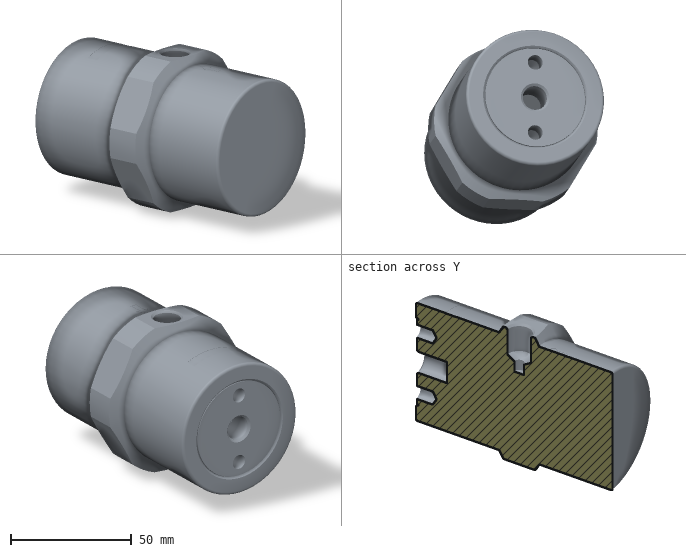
import cadquery as cq
import math

BODY_LENGTH = 98.0
BODY_DIAMETER = 58.0
BODY_END_FILLET = 1.2

COLLAR_WIDTH = 20.0
COLLAR_CENTRE_X = 2.5
COLLAR_SIDES = 6
ACROSS_FLATS = 65.0
CORNER_DIAMETER = 68.8
COLLAR_CONE_ANGLE = 60.0

RECESS_MOUTH_DIAMETER = 44.0
RECESS_BORE_DIAMETER = 42.4
RECESS_DEPTH = 0.5
PLUG_DIAMETER = 41.9
PLUG_GAP_DEPTH = 0.75

END_PORT_DIAMETER = 10.11
END_PORT_MOUTH_DIAMETER = 12.0
END_PORT_DEPTH = 15.0

SPANNER_HOLE_DIAMETER = 6.2
SPANNER_HOLE_OFFSET = 15.0
SPANNER_HOLE_DEPTH = 8.0

SIDE_PORT_DIAMETER = 11.45
SIDE_PORT_MOUTH_DIAMETER = 13.16
SIDE_PORT_DEPTH = 13.0
PILOT_DIAMETER = 4.5
PILOT_DEPTH = 5.0

DRILL_POINT_ANGLE = 118.0

MARKING_DEPTH = 0.1
ARROW_TIP_X = 15.7
ARROW_HEAD_END_X = 20.6
ARROW_TAIL_X = 26.5
ARROW_HEAD_HALF_WIDTH = 3.1
ARROW_SHAFT_HALF_WIDTH = 1.45
ARROW_LINE_WIDTH = 0.6
LABEL_CENTRE_X = -31.6
LABEL_LENGTH_X = 5.0
LABEL_WIDTH_Y = 24.8

END_FACE_X = -BODY_LENGTH / 2
PLUG_FACE_X = END_FACE_X + RECESS_DEPTH
BODY_RADIUS = BODY_DIAMETER / 2


def drill_point_length(large_diameter, small_diameter=0.0):
    """Axial length of a drill-point cone between two diameters."""
    return (large_diameter - small_diameter) / 2 / math.tan(math.radians(DRILL_POINT_ANGLE / 2))


def make_body():
    body = cq.Workplane("YZ").circle(BODY_RADIUS).extrude(BODY_LENGTH / 2, both=True)
    return body.faces("<X or >X").edges().fillet(BODY_END_FILLET)


def make_collar():
    start_x = COLLAR_CENTRE_X - COLLAR_WIDTH / 2
    end_x = COLLAR_CENTRE_X + COLLAR_WIDTH / 2
    corner_radius = CORNER_DIAMETER / 2
    cone_length = (corner_radius - BODY_RADIUS) / math.tan(math.radians(COLLAR_CONE_ANGLE))

    across_corners = ACROSS_FLATS / math.cos(math.pi / COLLAR_SIDES)
    base = cq.Workplane("YZ", origin=(start_x, 0, 0))
    hexagon = base.polygon(COLLAR_SIDES, across_corners).extrude(COLLAR_WIDTH)
    envelope = (
        cq.Workplane("XY")
        .moveTo(start_x, 0)
        .lineTo(start_x, BODY_RADIUS)
        .lineTo(start_x + cone_length, corner_radius)
        .lineTo(end_x - cone_length, corner_radius)
        .lineTo(end_x, BODY_RADIUS)
        .lineTo(end_x, 0)
        .close()
        .revolve(360, (0, 0, 0), (1, 0, 0))
    )
    return hexagon.intersect(envelope)


def revolved_hole(origin, direction, profile):
    """Cutter turned about an axis; profile holds (depth, radius) points, starting and ending on the axis."""
    plane = cq.Plane(origin=origin, xDir=direction, normal=(0, 1, 0))
    return cq.Workplane(plane).polyline(profile).close().revolve(360, (0, 0, 0), (1, 0, 0))


def make_plug_recess():
    mouth_radius = RECESS_MOUTH_DIAMETER / 2
    bore_radius = RECESS_BORE_DIAMETER / 2
    plug_radius = PLUG_DIAMETER / 2
    gap_floor = RECESS_DEPTH + PLUG_GAP_DEPTH
    profile = [
        (0, 0),
        (0, mouth_radius),
        (mouth_radius - bore_radius, bore_radius),
        (gap_floor, bore_radius),
        (gap_floor, plug_radius),
        (RECESS_DEPTH, plug_radius),
        (RECESS_DEPTH, 0),
    ]
    return revolved_hole((END_FACE_X, 0, 0), (1, 0, 0), profile)


def make_end_port():
    radius = END_PORT_DIAMETER / 2
    mouth_radius = END_PORT_MOUTH_DIAMETER / 2
    profile = [
        (0, 0),
        (0, mouth_radius),
        (mouth_radius - radius, radius),
        (END_PORT_DEPTH, radius),
        (END_PORT_DEPTH, 0),
    ]
    return revolved_hole((PLUG_FACE_X, 0, 0), (1, 0, 0), profile)


def make_spanner_hole(z):
    radius = SPANNER_HOLE_DIAMETER / 2
    tip_depth = SPANNER_HOLE_DEPTH + drill_point_length(SPANNER_HOLE_DIAMETER)
    profile = [(0, 0), (0, radius), (SPANNER_HOLE_DEPTH, radius), (tip_depth, 0)]
    return revolved_hole((PLUG_FACE_X, 0, z), (1, 0, 0), profile)


def make_side_port():
    radius = SIDE_PORT_DIAMETER / 2
    mouth_radius = SIDE_PORT_MOUTH_DIAMETER / 2
    pilot_radius = PILOT_DIAMETER / 2
    pilot_start = SIDE_PORT_DEPTH + drill_point_length(SIDE_PORT_DIAMETER, PILOT_DIAMETER)
    pilot_end = pilot_start + PILOT_DEPTH
    profile = [
        (0, 0),
        (0, mouth_radius),
        (mouth_radius - radius, radius),
        (SIDE_PORT_DEPTH, radius),
        (pilot_start, pilot_radius),
        (pilot_end, pilot_radius),
        (pilot_end, 0),
    ]
    return revolved_hole((COLLAR_CENTRE_X, 0, ACROSS_FLATS / 2), (0, 0, -1), profile)


def engraved(outline_prism):
    """Part of an upright prism that lies in the thin skin of the body."""
    core = cq.Workplane("YZ").circle(BODY_RADIUS - MARKING_DEPTH).extrude(BODY_LENGTH / 2, both=True)
    return outline_prism.cut(core)


def make_arrow_groove():
    outline = (
        cq.Workplane("XY")
        .moveTo(ARROW_TIP_X, 0)
        .lineTo(ARROW_HEAD_END_X, ARROW_HEAD_HALF_WIDTH)
        .lineTo(ARROW_HEAD_END_X, ARROW_SHAFT_HALF_WIDTH)
        .lineTo(ARROW_TAIL_X, ARROW_SHAFT_HALF_WIDTH)
        .lineTo(ARROW_TAIL_X, -ARROW_SHAFT_HALF_WIDTH)
        .lineTo(ARROW_HEAD_END_X, -ARROW_SHAFT_HALF_WIDTH)
        .lineTo(ARROW_HEAD_END_X, -ARROW_HEAD_HALF_WIDTH)
        .close()
    )
    arrow = outline.extrude(BODY_DIAMETER)
    island = outline.toPending().offset2D(-ARROW_LINE_WIDTH, "intersection").extrude(BODY_DIAMETER)
    return engraved(arrow.cut(island))


def make_label_pocket():
    label = cq.Workplane("XY").center(LABEL_CENTRE_X, 0).rect(LABEL_LENGTH_X, LABEL_WIDTH_Y)
    return engraved(label.extrude(BODY_DIAMETER))


result = make_body().union(make_collar())
result = result.cut(make_plug_recess()).cut(make_end_port()).cut(make_side_port())
for hole_z in (-SPANNER_HOLE_OFFSET, SPANNER_HOLE_OFFSET):
    result = result.cut(make_spanner_hole(hole_z))
result = result.cut(make_arrow_groove()).cut(make_label_pocket())